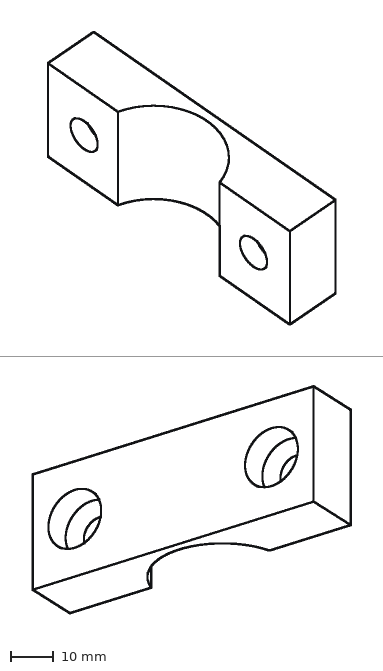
import cadquery as cq

length = 80.0
depth = 15.0
height = 30.0

saddle_diameter = 35.0
saddle_axis_gap = 5.0

bolt_diameter = 9.0
bolt_spacing = 56.0
head_diameter = 15.0
recess_depth = 10.0

front_face = -depth / 2
back_face = depth / 2
seat_depth = (head_diameter - bolt_diameter) / 2
head_depth = recess_depth - seat_depth
bolt_points = [(side * bolt_spacing / 2, 0) for side in (-1, 1)]


def make_block():
    return cq.Workplane("XY").box(length, depth, height)


def make_saddle():
    """Upright cylinder that hollows the clamping face."""
    return (
        cq.Workplane("XY")
        .center(0, front_face - saddle_axis_gap)
        .circle(saddle_diameter / 2)
        .extrude(height, both=True)
    )


def make_bolt_holes():
    """Cylinders along Y, one on each side of the saddle."""
    return (
        cq.Workplane("XZ")
        .pushPoints(bolt_points)
        .circle(bolt_diameter / 2)
        .extrude(depth, both=True)
    )


def make_head_recess():
    """Counterbore from the back face, narrowing through a conical seat to the bolt hole."""
    bolt_radius = bolt_diameter / 2
    head_radius = head_diameter / 2
    return (
        cq.Workplane("XY")
        .moveTo(0, back_face)
        .lineTo(head_radius, back_face)
        .lineTo(head_radius, back_face - head_depth)
        .lineTo(bolt_radius, back_face - recess_depth)
        .lineTo(0, back_face - recess_depth)
        .close()
        .revolve(360, (0, 0), (0, 1))
    )



result = make_block().cut(make_saddle()).cut(make_bolt_holes())
for x, z in bolt_points:
    result = result.cut(make_head_recess().translate((x, 0, z)))